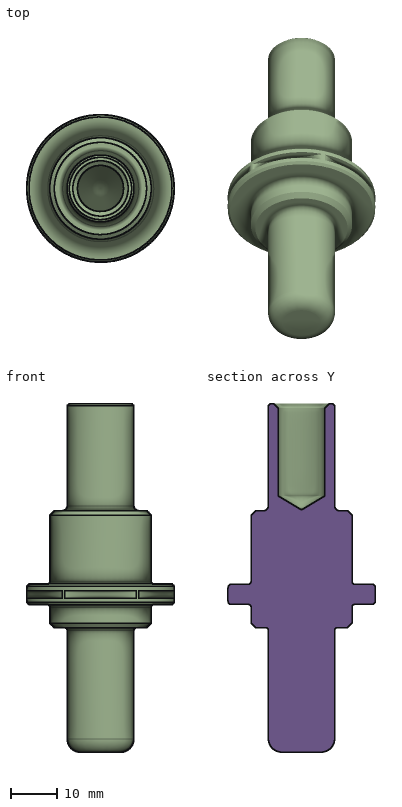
import cadquery as cq
import math

total_height = 75.6
shaft_radius = 14.5 / 2
tip_round = 3.0
mouth_chamfer = 0.5

hub_radius = 22.0 / 2
hub_bottom = 27.0
hub_top = 52.4
hub_chamfer = 1.0
shaft_fillet_above = 1.0
shaft_fillet_below = 0.5

flange_radius = 32.0 / 2
flange_bottom = 32.0
flange_thickness = 4.5
flange_top = flange_bottom + flange_thickness
flange_chamfer = 0.5
flange_fillet = 0.5

slot_count = 6
slot_height = 1.6
slot_floor_distance = 14.0
slot_middle = (flange_bottom + flange_top) / 2

bore_radius = 10.0 / 2
bore_depth = 20.0
drill_point_angle = 118.0
countersink_radius = 12.0 / 2
countersink_angle = 90.0


def cone_height(radius_change, included_angle):
    """Axial length over which a cone changes its radius by the given amount."""
    return radius_change / math.tan(math.radians(included_angle / 2))


def make_shaft():
    shaft = cq.Workplane("XY").circle(shaft_radius).extrude(total_height)
    shaft = shaft.faces("<Z").edges().fillet(tip_round)
    return shaft.faces(">Z").edges().chamfer(mouth_chamfer)


def make_disc(radius, bottom, top, chamfer):
    """Disc on the axis with both rims chamfered."""
    disc = cq.Workplane("XY").workplane(offset=bottom).circle(radius).extrude(top - bottom)
    return disc.edges().chamfer(chamfer)


def fillet_step(body, radius, height, fillet):
    """Fillet the inside corner where a cylinder meets a flat face at the given height."""
    corner = cq.selectors.BoxSelector(
        (-radius - fillet, -radius - fillet, height - fillet / 2),
        (radius + fillet, radius + fillet, height + fillet / 2),
        boundingbox=True,
    )
    return body.edges(corner).fillet(fillet)


def make_slots():
    """Boxes from the flat slot floors to just outside the rim, spaced evenly around the axis."""
    rim_clearance = 1.0
    depth = flange_radius + rim_clearance - slot_floor_distance
    width = 2 * math.sqrt(flange_radius**2 - slot_floor_distance**2)
    slots = cq.Workplane("XY")
    for index in range(slot_count):
        slot = (
            cq.Workplane("XY")
            .box(width, depth, slot_height)
            .translate((0, slot_floor_distance + depth / 2, slot_middle))
            .rotate((0, 0, 0), (0, 0, 1), index * 360 / slot_count)
        )
        slots = slots.add(slot)
    return slots.combine()


def make_bore():
    bore_bottom = total_height - bore_depth
    point_bottom = bore_bottom - cone_height(bore_radius, drill_point_angle)
    countersink_bottom = total_height - cone_height(countersink_radius - bore_radius, countersink_angle)
    return (
        cq.Workplane("XZ")
        .moveTo(0, point_bottom)
        .lineTo(bore_radius, bore_bottom)
        .lineTo(bore_radius, countersink_bottom)
        .lineTo(countersink_radius, total_height)
        .lineTo(0, total_height)
        .close()
        .revolve(360, (0, 0, 0), (0, 1, 0))
    )


body = make_shaft()
body = body.union(make_disc(hub_radius, hub_bottom, hub_top, hub_chamfer))
body = body.union(make_disc(flange_radius, flange_bottom, flange_top, flange_chamfer))
body = fillet_step(body, shaft_radius, hub_top, shaft_fillet_above)
body = fillet_step(body, shaft_radius, hub_bottom, shaft_fillet_below)
body = fillet_step(body, hub_radius, flange_top, flange_fillet)
body = fillet_step(body, hub_radius, flange_bottom, flange_fillet)

result = body.cut(make_slots()).cut(make_bore())